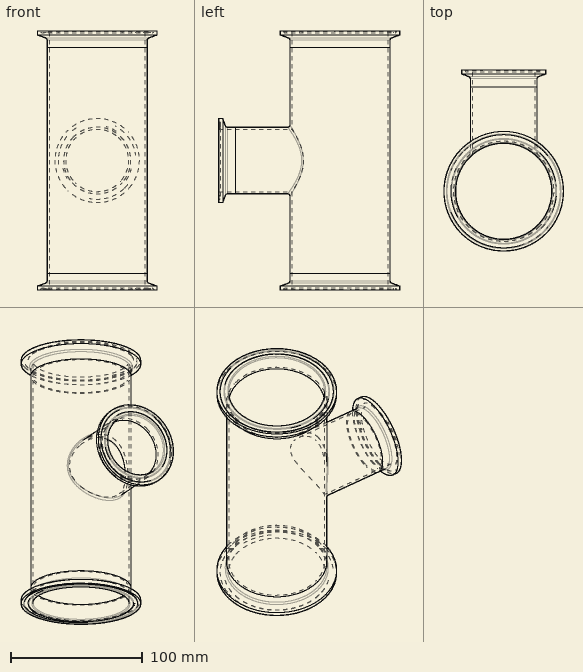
import cadquery as cq
import math

RUN_LENGTH = 196.8
BRANCH_REACH = 92.1

RUN_DIAMETER = 76.2
BRANCH_DIAMETER = 50.8
WALL = 1.65
JUNCTION_FILLET = 1.5

RUN_FLANGE_DIAMETER = 91.0
BRANCH_FLANGE_DIAMETER = 64.0
FERRULE_LENGTH = 12.8
RIM_THICKNESS = 3.1
FLANGE_BACK_ANGLE = 20.0
NECK_FILLET = 1.5
BORE_MOUTH_FILLET = 0.8

GROOVE_INSET = 4.0
GROOVE_WIDTH = 3.0
GROOVE_DEPTH = 1.5
GROOVE_LIP_FILLET = 0.5

RUN_FACE = RUN_LENGTH / 2
RUN_PIPE_END = RUN_FACE - FERRULE_LENGTH
BRANCH_PIPE_END = BRANCH_REACH - FERRULE_LENGTH


def bar_along_z(diameter):
    return cq.Workplane("XY").circle(diameter / 2).extrude(RUN_PIPE_END, both=True)


def bar_along_y(diameter):
    return cq.Workplane("XZ").circle(diameter / 2).extrude(-BRANCH_PIPE_END)


def make_tee():
    """Run pipe and branch pipe joined, with their bores meeting inside."""
    outside = bar_along_z(RUN_DIAMETER).union(bar_along_y(BRANCH_DIAMETER))
    radius = BRANCH_DIAMETER / 2 + JUNCTION_FILLET
    junction = cq.selectors.BoxSelector(
        (-radius, 0, -radius), (radius, RUN_DIAMETER / 2 + JUNCTION_FILLET, radius),
        boundingbox=True,
    )
    outside = outside.edges(junction).fillet(JUNCTION_FILLET)
    run_bore = bar_along_z(RUN_DIAMETER - 2 * WALL)
    branch_bore = bar_along_y(BRANCH_DIAMETER - 2 * WALL)
    return outside.cut(run_bore).cut(branch_bore)


def make_ferrule(pipe_diameter, flange_diameter):
    """Clamp ferrule on the Z axis: mating face at z = 0, body below it."""
    outer = pipe_diameter / 2
    bore = outer - WALL
    rim = flange_diameter / 2
    cone_drop = (rim - outer) * math.tan(math.radians(FLANGE_BACK_ANGLE))
    neck_z = -RIM_THICKNESS - cone_drop

    ferrule = (
        cq.Workplane("XZ")
        .moveTo(bore, 0)
        .lineTo(rim, 0)
        .lineTo(rim, -RIM_THICKNESS)
        .lineTo(outer, neck_z)
        .lineTo(outer, -FERRULE_LENGTH)
        .lineTo(bore, -FERRULE_LENGTH)
        .close()
        .revolve(360, (0, 0), (0, 1))
    )
    margin = RIM_THICKNESS / 10
    neck_edge = cq.selectors.BoxSelector(
        (-outer - margin, -outer - margin, neck_z - margin),
        (outer + margin, outer + margin, neck_z + margin),
        boundingbox=True,
    )
    ferrule = ferrule.edges(neck_edge).fillet(NECK_FILLET)

    groove_middle = rim - GROOVE_INSET
    groove = (
        cq.Workplane("XZ")
        .moveTo(groove_middle - GROOVE_WIDTH / 2, 0)
        .threePointArc((groove_middle, -GROOVE_DEPTH), (groove_middle + GROOVE_WIDTH / 2, 0))
        .close()
        .revolve(360, (0, 0), (0, 1))
    )
    ferrule = ferrule.cut(groove)

    _, inner_lip, outer_lip, _ = sorted(
        ferrule.edges("%CIRCLE and >Z").vals(), key=lambda edge: edge.radius()
    )
    ferrule = ferrule.newObject([inner_lip, outer_lip]).fillet(GROOVE_LIP_FILLET)
    mouth_selector = cq.selectors.RadiusNthSelector(0)
    return ferrule.edges(">Z").edges(mouth_selector).fillet(BORE_MOUTH_FILLET)


tee = make_tee()

run_ferrules = []
for flip_angle in (0, 180):
    ferrule = make_ferrule(RUN_DIAMETER, RUN_FLANGE_DIAMETER)
    placed = ferrule.translate((0, 0, RUN_FACE)).rotate((0, 0, 0), (1, 0, 0), flip_angle)
    run_ferrules.append(placed.val())

branch_ferrule = (
    make_ferrule(BRANCH_DIAMETER, BRANCH_FLANGE_DIAMETER)
    .rotate((0, 0, 0), (1, 0, 0), -90)
    .translate((0, BRANCH_REACH, 0))
)

result = cq.Compound.makeCompound([tee.val(), *run_ferrules, branch_ferrule.val()])